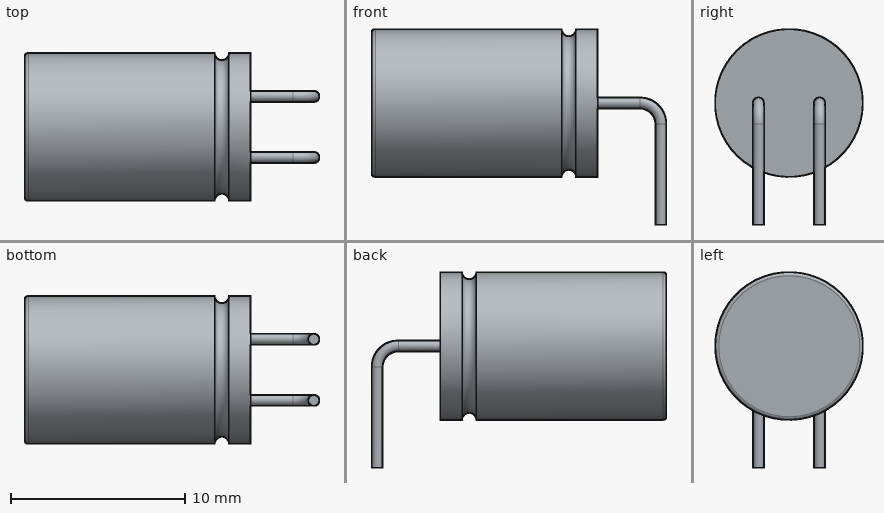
import cadquery as cq

can_diameter = 8.5
can_length = 13.0
end_fillet = 0.2

groove_radius = 0.4
groove_x = 11.33

lead_diameter = 0.65
lead_pitch = 3.5
bend_radius = 1.2
overall_length = 16.94
overall_height = 11.25

can_radius = can_diameter / 2
lead_drop_x = overall_length - lead_diameter / 2
bend_start_x = lead_drop_x - bend_radius
lead_tip_z = can_radius - overall_height


def make_can():
    """Solid can with a rounded closed end and a crimp groove near its base."""
    body = cq.Workplane("YZ").circle(can_radius).extrude(can_length)
    body = body.faces("<X").edges().fillet(end_fillet)
    groove = (
        cq.Workplane("XY")
        .center(groove_x, can_radius)
        .circle(groove_radius)
        .revolve(360, (0, -can_radius), (1, -can_radius))
    )
    return body.cut(groove)


def make_lead(y):
    """Wire from the can's base along +X, then bent a quarter turn toward -Z."""
    straight = cq.Workplane("YZ", origin=(can_length, y, 0)).circle(lead_diameter / 2)
    straight = straight.extrude(bend_start_x - can_length)
    bend = (
        cq.Workplane("YZ", origin=(bend_start_x, y, 0))
        .circle(lead_diameter / 2)
        .revolve(90, (0, -bend_radius), (1, -bend_radius))
    )
    leg = cq.Workplane("XY", origin=(lead_drop_x, y, -bend_radius)).circle(lead_diameter / 2)
    leg = leg.extrude(lead_tip_z + bend_radius)
    return straight.union(bend).union(leg)


can = make_can()
leads = [make_lead(side * lead_pitch / 2) for side in (-1, 1)]

result = cq.Compound.makeCompound([can.val(), *[lead.val() for lead in leads]])